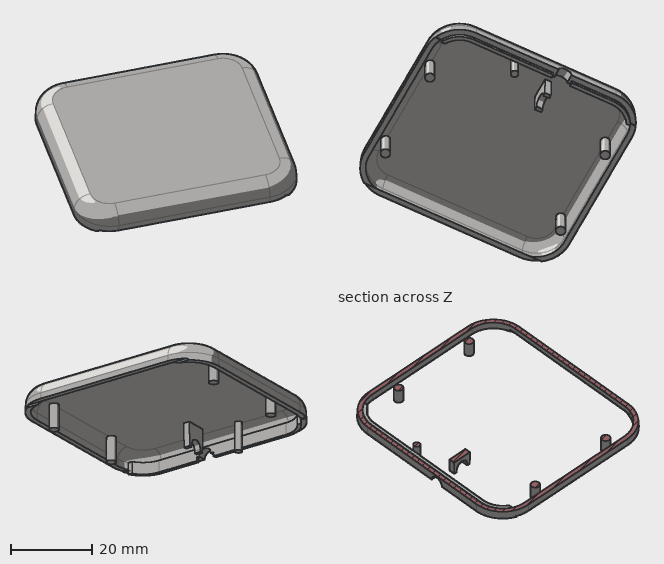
import cadquery as cq
import math


length_x = 52.25
length_y = 56.75
corner_radius = 9.1
edge_fillet = 4.1
draft_angle = 3.0
wall = 1.4
roof = 1.4
inner_fillet = edge_fillet - wall

right_rim_depth = 5.55
rim_depth = 6.0
left_rim_depth = 6.25
left_zone_width = 5.7
relief_slope_width = 0.3

lip_thickness = 0.95
lip_depth = 7.25
lip_gap_width = 5.05

notch_y = -5.3
notch_radius = 1.75

clip_x = -16.85
clip_y = -3.85
clip_thickness = 1.7
clip_root_half_width = 2.9
clip_foot_half_width = 2.65
clip_depth = 7.9
clip_arch_radius = 1.75
clip_arch_depth = 7.15

post_diameter = 2.45
post_depth = 8.05
post_xs = (-10.6, 13.5)
post_y = 24.2
pin_diameter = 1.9
pin_depth = 9.2
pin_x = -21.6
pin_y = 6.4

left_face = -length_x / 2
right_face = length_x / 2
stem_top = roof / 2


def outline(inset, depth):
    """Rounded rectangle, inset from the outer walls, on the plane at the given depth."""
    return (
        cq.Workplane("XY", origin=(0, 0, -depth))
        .sketch()
        .rect(length_x - 2 * inset, length_y - 2 * inset)
        .vertices()
        .fillet(corner_radius - inset)
        .finalize()
    )


def box_between(x_range, y_range, depth_range):
    """Box spanning the given X, Y and depth ranges."""
    size = [high - low for low, high in (x_range, y_range, depth_range)]
    corner = (x_range[0], y_range[0], -depth_range[1])
    return cq.Workplane("XY").box(*size, centered=False).translate(corner)


def left_zone(depth_from, depth_to):
    """Strip along the -X side, full length in Y."""
    return box_between(
        (left_face, left_face + left_zone_width),
        (-length_y / 2, length_y / 2),
        (depth_from, depth_to),
    )


def stem(x, y, diameter, depth):
    """Round post hanging from the roof."""
    return cq.Workplane("XY", origin=(x, y, -depth)).circle(diameter / 2).extrude(depth - stem_top)


def make_shell():
    """Hollow cover with a drafted wall, a rounded outer edge and a stepped rim."""
    flare = (left_rim_depth - rim_depth) * math.tan(math.radians(draft_angle))
    body = outline(-flare, left_rim_depth).extrude(left_rim_depth, taper=draft_angle)
    body = body.faces(">Z").edges().fillet(edge_fillet)
    rim_step = box_between(
        (left_face + left_zone_width, length_x),
        (-length_y, length_y),
        (rim_depth, left_rim_depth),
    )
    body = body.cut(rim_step)
    cavity = outline(wall, left_rim_depth).extrude(left_rim_depth - roof)
    cavity = cavity.faces(">Z").edges().fillet(inner_fillet)
    return body.cut(cavity)


def make_right_relief():
    """Cutter that raises the rim along the +X side, with a sloped start."""
    flat_start = right_face - wall
    return (
        cq.Workplane("XZ")
        .moveTo(flat_start - relief_slope_width, -rim_depth)
        .lineTo(flat_start, -right_rim_depth)
        .lineTo(length_x, -right_rim_depth)
        .lineTo(length_x, -rim_depth)
        .close()
        .extrude(length_y / 2, both=True)
    )


def make_lip():
    """Lip on the inner face of the -X wall and its corners, with a gap at the cable notch."""
    height = lip_depth - edge_fillet
    ring = outline(wall, lip_depth).extrude(height)
    ring = ring.cut(outline(wall + lip_thickness, lip_depth).extrude(height))
    gap = box_between(
        (left_face, left_face + left_zone_width),
        (notch_y - lip_gap_width / 2, notch_y + lip_gap_width / 2),
        (left_rim_depth, lip_depth),
    )
    return ring.intersect(left_zone(edge_fillet, lip_depth)).cut(gap)


def make_notch():
    """Half-round cable passage through the -X wall and lip."""
    return (
        cq.Workplane("YZ", origin=(-length_x, notch_y, -left_rim_depth))
        .circle(notch_radius)
        .extrude(length_x + left_face + wall + lip_thickness)
    )


def make_clip():
    """Tapered plate with an arched slot leaving two prongs."""
    arch_top = (0, -clip_arch_depth + clip_arch_radius)
    return (
        cq.Workplane("XZ", origin=(clip_x, clip_y, 0))
        .moveTo(-clip_root_half_width, -stem_top)
        .lineTo(-clip_foot_half_width, -clip_depth)
        .lineTo(-clip_arch_radius, -clip_depth)
        .lineTo(-clip_arch_radius, -clip_arch_depth)
        .threePointArc(arch_top, (clip_arch_radius, -clip_arch_depth))
        .lineTo(clip_arch_radius, -clip_depth)
        .lineTo(clip_foot_half_width, -clip_depth)
        .lineTo(clip_root_half_width, -stem_top)
        .close()
        .extrude(clip_thickness / 2, both=True)
    )


result = make_shell().cut(make_right_relief())
result = result.union(make_lip()).cut(make_notch())
result = result.union(make_clip())
for post_x in post_xs:
    for side in (-1, 1):
        result = result.union(stem(post_x, side * post_y, post_diameter, post_depth))
result = result.union(stem(pin_x, pin_y, pin_diameter, pin_depth))